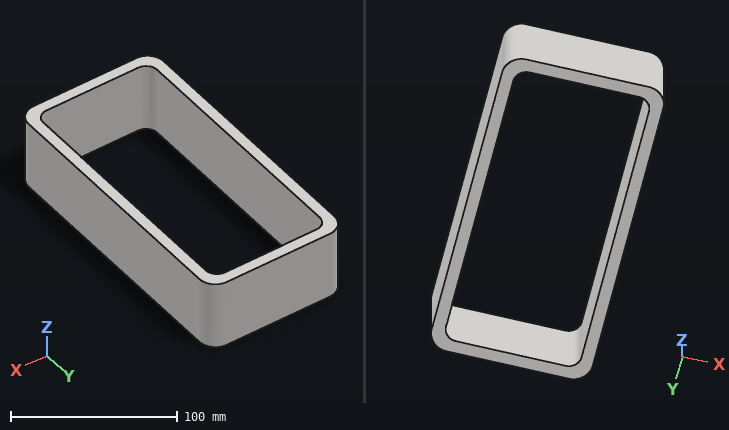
import cadquery as cq

width = 100.0
length = 200.0
height = 50.0

wall = 8.0
outer_radius = 12.0
inner_radius = 8.0


def rounded_block(size_x, size_y, corner_radius):
    """Full-height block with rounded vertical edges, standing on Z = 0."""
    block = cq.Workplane("XY").rect(size_x, size_y).extrude(height)
    return block.edges("|Z").fillet(corner_radius)


outer = rounded_block(width, length, outer_radius)
opening = rounded_block(width - 2 * wall, length - 2 * wall, inner_radius)

result = outer.cut(opening)